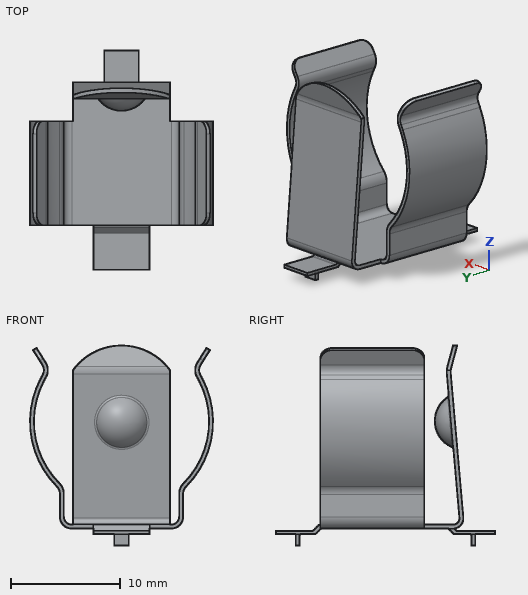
import cadquery as cq
import math


SHEET = 0.38
BASE_HALF_WIDTH = 5.63
JAW_LENGTH = 9.52
SEAM_OVERLAP = 0.3

JAW_BEND = 0.7
WALL_BEND = 1.05
CELL_RADIUS = 7.985
CELL_AXIS_Z = 9.77
JAW_TOP_ANGLE = 27.5
JAW_NECK_LENGTH = 0.48
LIP_BEND = 0.9
LIP_TILT = 32.0
LIP_LENGTH = 1.6
LIP_CORNER = 1.15

ARM_WIDTH = 8.88
ARM_BACK_Y = 8.32
ARM_BEND = 0.56
ARM_LEAN = 5.0
ARM_TIP_TILT = 15.0
ARM_TIP_BEND = 1.64
ARM_TIP_BEND_Z = 14.12
ARM_TOP_Z = 16.73
ARM_CROWN_RADIUS = 5.47
ARM_BLANK_EXTRA = 1.0

DOME_Z = 9.73
DOME_HEIGHT = 1.48
DOME_FOOT_RADIUS = 2.485
DOME_FILLET = 0.22

TAB_TOP_Z = -0.2
TAB_SHEET = 0.3
TAB_SLOPE_START = 0.09
TAB_UPPER_BEND = 0.25
TAB_LOWER_BEND = 0.15
FRONT_TAB_WIDTH = 5.12
BACK_TAB_WIDTH = 3.17
FRONT_TAB_TIP_Y = -8.82
BACK_TAB_TIP_Y = 11.22
BACK_TAB_ROOT_Y = 7.0
PIN_WIDTH = 1.36
PIN_INSET = 2.0
PIN_BOTTOM_Z = -1.55
PIN_FILLET = 0.15


def line(length):
    return ("line", length, 0.0)


def bend(inner_radius, turn):
    """Bend of the sheet; a positive turn (degrees) is to the left."""
    return ("bend", inner_radius + SHEET / 2, turn)


def sheet_profile(plane, start, heading, steps):
    """Closed section of a bent sheet, following its mid-line from start along the steps."""
    x, y = start
    angle = math.radians(heading)

    def offset_point(px, py, direction, side):
        shift = side * SHEET / 2
        return (px - shift * math.sin(direction), py + shift * math.cos(direction))

    sides = (1, -1)
    points = {side: [offset_point(x, y, angle, side)] for side in sides}
    middles = {side: [] for side in sides}
    for kind, size, turn in steps:
        if kind == "line":
            x += size * math.cos(angle)
            y += size * math.sin(angle)
            for side in sides:
                middles[side].append(None)
        else:
            hand = math.copysign(1, turn)
            centre_x = x - hand * size * math.sin(angle)
            centre_y = y + hand * size * math.cos(angle)
            half_way = angle + math.radians(turn) / 2
            angle += math.radians(turn)
            middle_x = centre_x + hand * size * math.sin(half_way)
            middle_y = centre_y - hand * size * math.cos(half_way)
            x = centre_x + hand * size * math.sin(angle)
            y = centre_y - hand * size * math.cos(angle)
            for side in sides:
                middles[side].append(offset_point(middle_x, middle_y, half_way, side))
        for side in sides:
            points[side].append(offset_point(x, y, angle, side))

    def trace(sketch, targets, arc_middles):
        for target, middle in zip(targets, arc_middles):
            if middle is None:
                sketch = sketch.lineTo(*target)
            else:
                sketch = sketch.threePointArc(middle, target)
        return sketch

    left, right = sides
    sketch = cq.Workplane(plane).moveTo(*points[left][0])
    sketch = trace(sketch, points[left][1:], middles[left])
    sketch = sketch.lineTo(*points[right][-1])
    sketch = trace(sketch, points[right][-2::-1], middles[right][::-1])
    return sketch.close()


def make_jaw():
    """Right-hand half of the base with its wall, round jaw and flared lip."""
    bend_centre_x = BASE_HALF_WIDTH + WALL_BEND
    reach = CELL_RADIUS + SHEET + WALL_BEND
    wall_top_z = CELL_AXIS_Z - math.sqrt(reach**2 - bend_centre_x**2)
    low_angle = math.degrees(math.acos(bend_centre_x / reach))
    wall_bottom_z = SHEET + JAW_BEND
    steps = [
        line(BASE_HALF_WIDTH - SHEET - JAW_BEND),
        bend(JAW_BEND, 90),
        line(wall_top_z - wall_bottom_z),
        bend(WALL_BEND, -low_angle),
        bend(CELL_RADIUS, low_angle + JAW_TOP_ANGLE),
        line(JAW_NECK_LENGTH),
        bend(LIP_BEND, -JAW_TOP_ANGLE - LIP_TILT),
        line(LIP_LENGTH),
    ]
    jaw = sheet_profile("XZ", (0, SHEET / 2), 0, steps).extrude(JAW_LENGTH / 2, both=True)

    tilt = math.radians(LIP_TILT)
    through_sheet = cq.Vector(math.cos(tilt), 0, -math.sin(tilt))
    corners = jaw.edges(cq.selectors.ParallelDirSelector(through_sheet)).edges(">Z")
    return corners.fillet(LIP_CORNER)


def make_arm():
    """Strip from the base up the leaning back arm, with its tip trimmed to a round crown."""
    lean = math.radians(ARM_LEAN)
    bend_centre_y = ARM_BACK_Y - ARM_BEND - SHEET
    bend_centre_z = SHEET + ARM_BEND
    straight_start_z = bend_centre_z + ARM_BEND * math.sin(lean)
    straight_length = (ARM_TIP_BEND_Z - straight_start_z) / math.cos(lean)
    start_y = JAW_LENGTH / 2 - SEAM_OVERLAP
    tip_length = ARM_TOP_Z - ARM_TIP_BEND_Z + ARM_BLANK_EXTRA
    steps = [
        line(bend_centre_y - start_y),
        bend(ARM_BEND, 90 + ARM_LEAN),
        line(straight_length),
        bend(ARM_TIP_BEND, -ARM_LEAN - ARM_TIP_TILT),
        line(tip_length),
    ]
    arm = sheet_profile("YZ", (start_y, SHEET / 2), 0, steps).extrude(ARM_WIDTH / 2, both=True)

    half = ARM_WIDTH / 2
    shoulder_z = ARM_TOP_Z - ARM_CROWN_RADIUS + math.sqrt(ARM_CROWN_RADIUS**2 - half**2)
    crown = (
        cq.Workplane("XZ")
        .moveTo(-half, 0)
        .lineTo(half, 0)
        .lineTo(half, shoulder_z)
        .threePointArc((0, ARM_TOP_Z), (-half, shoulder_z))
        .close()
        .extrude(-2 * ARM_BACK_Y)
    )

    straight_start_y = bend_centre_y + ARM_BEND * math.cos(lean)
    dome_y = straight_start_y - (DOME_Z - straight_start_z) * math.tan(lean)
    return arm.intersect(crown).union(make_dome(dome_y))


def make_dome(face_y):
    """Spherical contact dome with a filleted foot, square to the leaning arm."""
    fillet_rise = (DOME_FOOT_RADIUS**2 - DOME_HEIGHT**2) / (2 * DOME_HEIGHT)
    centre_depth = fillet_rise - DOME_FILLET
    sphere_radius = DOME_HEIGHT + centre_depth
    foot_angle = math.atan2(DOME_FOOT_RADIUS, fillet_rise)
    joint = (sphere_radius * math.sin(foot_angle), sphere_radius * math.cos(foot_angle) - centre_depth)
    fillet_middle = (
        DOME_FOOT_RADIUS - DOME_FILLET * math.sin(foot_angle / 2),
        DOME_FILLET * (1 - math.cos(foot_angle / 2)),
    )
    cap_middle = (
        sphere_radius * math.sin(foot_angle / 2),
        sphere_radius * math.cos(foot_angle / 2) - centre_depth,
    )
    root = -SHEET / 2
    lean = math.radians(ARM_LEAN)
    face = cq.Plane(
        origin=(0, face_y, DOME_Z),
        xDir=(1, 0, 0),
        normal=(0, math.sin(lean), -math.cos(lean)),
    )
    return (
        cq.Workplane(face)
        .moveTo(0, root)
        .lineTo(DOME_FOOT_RADIUS, root)
        .lineTo(DOME_FOOT_RADIUS, 0)
        .threePointArc(fillet_middle, joint)
        .threePointArc(cap_middle, (0, DOME_HEIGHT))
        .close()
        .revolve(360, (0, 0), (0, 1))
    )


def make_tab(root_y, tip_y, width):
    """Solder tab stepping down from the base at root_y along a 45 degree slope, with a pin below it."""
    outward = math.copysign(1, tip_y)

    def at(distance, z):
        """Point in the YZ plane at a distance outward from the tab root."""
        return (root_y + outward * distance, z)

    tip = abs(tip_y - root_y)
    tab_bottom_z = TAB_TOP_Z - TAB_SHEET
    slope_end = TAB_SLOPE_START + SHEET - TAB_TOP_Z
    slope_shift = SHEET * math.sqrt(2)
    under_slope_start = TAB_SLOPE_START + SHEET - slope_shift
    under_slope_end = under_slope_start - tab_bottom_z
    profile = [
        at(-SEAM_OVERLAP, SHEET),
        at(TAB_SLOPE_START, SHEET),
        at(slope_end, TAB_TOP_Z),
        at(tip, TAB_TOP_Z),
        at(tip, tab_bottom_z),
        at(under_slope_end, tab_bottom_z),
        at(under_slope_start, 0),
        at(-SEAM_OVERLAP, 0),
    ]
    tab = cq.Workplane("YZ").polyline(profile).close().extrude(width / 2, both=True)
    for corner, radius in ((profile[1], TAB_UPPER_BEND), (profile[2], TAB_LOWER_BEND)):
        tab = tab.edges(cq.selectors.NearestToPointSelector((0, *corner))).fillet(radius)

    pin_centre = tip - PIN_INSET
    pin_inner = pin_centre - SHEET / 2
    pin_outer = pin_centre + SHEET / 2
    fillet_inset = PIN_FILLET * (1 - math.sqrt(0.5))
    pin = (
        cq.Workplane("YZ")
        .moveTo(*at(pin_outer, TAB_TOP_Z))
        .lineTo(*at(pin_outer, PIN_BOTTOM_Z))
        .lineTo(*at(pin_inner, PIN_BOTTOM_Z))
        .lineTo(*at(pin_inner, tab_bottom_z - PIN_FILLET))
        .threePointArc(
            at(pin_inner - fillet_inset, tab_bottom_z - fillet_inset),
            at(pin_inner - PIN_FILLET, tab_bottom_z),
        )
        .lineTo(*at(pin_inner - PIN_FILLET, TAB_TOP_Z))
        .close()
        .extrude(PIN_WIDTH / 2, both=True)
    )
    return tab.union(pin)


jaw = make_jaw()
front_tab = make_tab(-JAW_LENGTH / 2, FRONT_TAB_TIP_Y, FRONT_TAB_WIDTH)
back_tab = make_tab(BACK_TAB_ROOT_Y, BACK_TAB_TIP_Y, BACK_TAB_WIDTH)

result = jaw.union(jaw.mirror("YZ")).union(make_arm()).union(front_tab).union(back_tab)